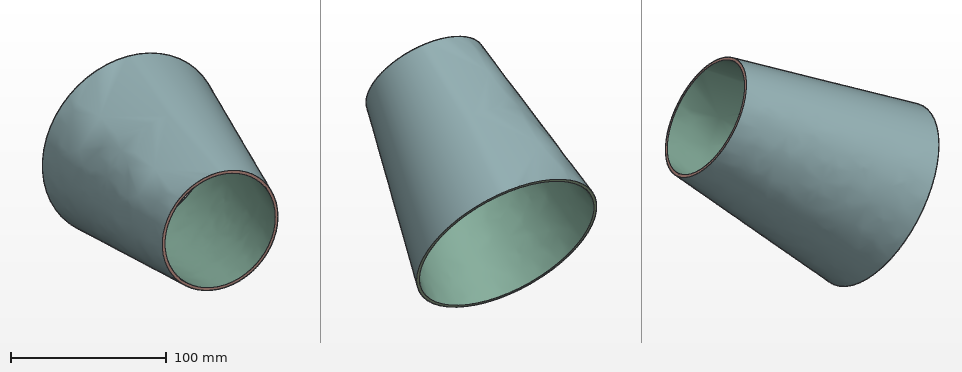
import cadquery as cq

length = 135.0
large_diameter = 128.7
small_diameter = 84.4
wall = 2.0
small_end_offset_y = -6.6


def oblique_cone(start_diameter, end_diameter):
    """Solid skewed cone between the two end circles."""
    return (
        cq.Workplane("YZ")
        .circle(start_diameter / 2)
        .workplane(offset=length)
        .center(small_end_offset_y, 0)
        .circle(end_diameter / 2)
        .loft(ruled=True, combine=True)
    )


outer_body = oblique_cone(large_diameter, small_diameter)
bore = oblique_cone(large_diameter - 2 * wall, small_diameter - 2 * wall)

result = outer_body.cut(bore)